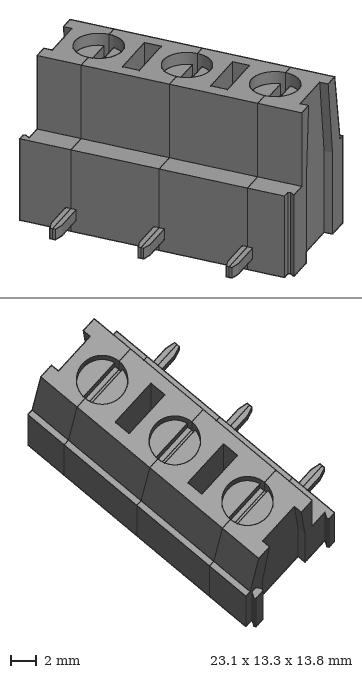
import cadquery as cq


POLES = 3
TOTAL_LENGTH = 23.1
LATCH_REACH = 0.6
BLOCK_LENGTH = TOTAL_LENGTH - LATCH_REACH
PITCH = BLOCK_LENGTH / POLES
END_LENGTH = PITCH / 2

DEPTH = 9.8
HEIGHT = 13.8
STEP_HEIGHT = 7.25
STEP_DEPTH = 1.96
LEDGE_HEIGHT = 7.76
LEDGE_DEPTH = 0.5
BACK_SETBACK = 1.52

RECESS_INSET = 0.72
RECESS_FRONT_LOW = 2.82
RECESS_FRONT_TOP = 3.25
RECESS_BACK_LOW = DEPTH - 1.96
RECESS_BACK_TOP = DEPTH - 2.8

WINDOW_WIDTH = 2 * RECESS_INSET
WINDOW_FRONT = 3.03
WINDOW_LENGTH = 4.2

WELL_DIAMETER = 4.0
WELL_DEPTH = 1.06
WELL_Y = 5.31
DRIVER_SLOT_WIDTH = 0.8
DRIVER_SLOT_DEPTH = 1.0

PIN_WIDTH = 0.9
PIN_TIP_WIDTH = 0.49
PIN_HEIGHT = 0.95
PIN_BOTTOM = 1.09
PIN_LENGTH = 3.5
PIN_TIP_LENGTH = 0.8

HOOK_TIP = 0.75
DOVETAIL_FRONT = DEPTH - 1.43
DOVETAIL_BACK = DEPTH - 0.45
BULGE = 0.07
BULGE_REACH = 0.16
UNDERCUT = 0.28


def slab(x_start, x_end):
    """Length of plain block with the stepped and sloping cross-section."""
    profile = [
        (0, 0),
        (0, STEP_HEIGHT),
        (STEP_DEPTH, STEP_HEIGHT),
        (STEP_DEPTH, HEIGHT),
        (DEPTH - BACK_SETBACK, HEIGHT),
        (DEPTH - LEDGE_DEPTH, LEDGE_HEIGHT),
        (DEPTH, LEDGE_HEIGHT),
        (DEPTH, 0),
    ]
    return cq.Workplane("YZ", origin=(x_start, 0, 0)).polyline(profile).close().extrude(x_end - x_start)


def screw_well(pole_x):
    """Cutter for the round well and the driver slot below its floor."""
    floor = HEIGHT - WELL_DEPTH
    well = cq.Workplane(origin=(pole_x, WELL_Y, floor)).circle(WELL_DIAMETER / 2).extrude(WELL_DEPTH)
    head = cq.Workplane(origin=(pole_x, WELL_Y, floor)).circle(WELL_DIAMETER / 2).extrude(-DRIVER_SLOT_DEPTH)
    slot = (
        cq.Workplane(origin=(pole_x, WELL_Y, floor))
        .rect(DRIVER_SLOT_WIDTH, WELL_DIAMETER)
        .extrude(-DRIVER_SLOT_DEPTH)
        .intersect(head)
    )
    return well.union(slot)


def half_pin(pole_x, side):
    """Half of a solder pin, on the +X (side = 1) or -X (side = -1) side of the pole axis."""
    edge_x = pole_x + side * PIN_WIDTH / 2
    tip_x = pole_x + side * PIN_TIP_WIDTH / 2
    outline = [
        (pole_x, 0),
        (edge_x, 0),
        (edge_x, PIN_TIP_LENGTH - PIN_LENGTH),
        (tip_x, -PIN_LENGTH),
        (pole_x, -PIN_LENGTH),
    ]
    return cq.Workplane(origin=(0, 0, PIN_BOTTOM)).polyline(outline).close().extrude(PIN_HEIGHT)


def side_recess(x_start):
    """Cutter for the tapering recess in an end face."""
    profile = [
        (RECESS_FRONT_LOW, 0),
        (RECESS_FRONT_LOW, STEP_HEIGHT),
        (RECESS_FRONT_TOP, HEIGHT),
        (RECESS_BACK_TOP, HEIGHT),
        (RECESS_BACK_LOW, STEP_HEIGHT),
        (RECESS_BACK_LOW, 0),
    ]
    return cq.Workplane("YZ", origin=(x_start, 0, 0)).polyline(profile).close().extrude(RECESS_INSET)


def hook(root_x):
    """Front hook, reaching from root_x towards -X; also the shape of the notch that receives it."""
    tip_x = root_x - LATCH_REACH
    outline = [
        (root_x, 0),
        (tip_x, 0),
        (tip_x, HOOK_TIP - BULGE),
        (tip_x + BULGE_REACH, HOOK_TIP),
        (root_x, HOOK_TIP - UNDERCUT),
    ]
    return cq.Workplane().polyline(outline).close().extrude(STEP_HEIGHT)


def dovetail(root_x):
    """Rear dovetail rib, reaching from root_x towards -X."""
    tip_x = root_x - LATCH_REACH
    outline = [
        (root_x, DOVETAIL_FRONT + UNDERCUT),
        (tip_x + BULGE_REACH, DOVETAIL_FRONT),
        (tip_x, DOVETAIL_FRONT + BULGE),
        (tip_x, DOVETAIL_BACK - BULGE),
        (tip_x + BULGE_REACH, DOVETAIL_BACK),
        (root_x, DOVETAIL_BACK - UNDERCUT),
    ]
    return cq.Workplane().polyline(outline).close().extrude(STEP_HEIGHT)


def make_left_end():
    """End from the left face to the first pole axis, with both latches."""
    pole_x = END_LENGTH
    body = slab(0, pole_x).union(hook(0)).union(dovetail(0)).union(half_pin(pole_x, -1))
    return body.cut(side_recess(0)).cut(screw_well(pole_x))


def make_middle_module(x_start):
    """Module between two neighbouring pole axes, with a window through its centre."""
    x_end = x_start + PITCH
    body = slab(x_start, x_end).union(half_pin(x_start, 1)).union(half_pin(x_end, -1))
    window = cq.Workplane().box(WINDOW_WIDTH, WINDOW_LENGTH, HEIGHT, centered=(True, False, False))
    body = body.cut(window.translate((x_start + PITCH / 2, WINDOW_FRONT, 0)))
    return body.cut(screw_well(x_start)).cut(screw_well(x_end))


def make_right_end():
    """End from the last pole axis to the right face, with the notch for a neighbour's hook."""
    pole_x = BLOCK_LENGTH - END_LENGTH
    body = slab(pole_x, BLOCK_LENGTH).union(half_pin(pole_x, 1)).cut(hook(BLOCK_LENGTH))
    return body.cut(side_recess(BLOCK_LENGTH - RECESS_INSET)).cut(screw_well(pole_x))


left_end = make_left_end()
middle_modules = [make_middle_module(END_LENGTH + i * PITCH) for i in range(POLES - 1)]
right_end = make_right_end()

result = cq.Compound.makeCompound(
    [left_end.val(), *[module.val() for module in middle_modules], right_end.val()]
)